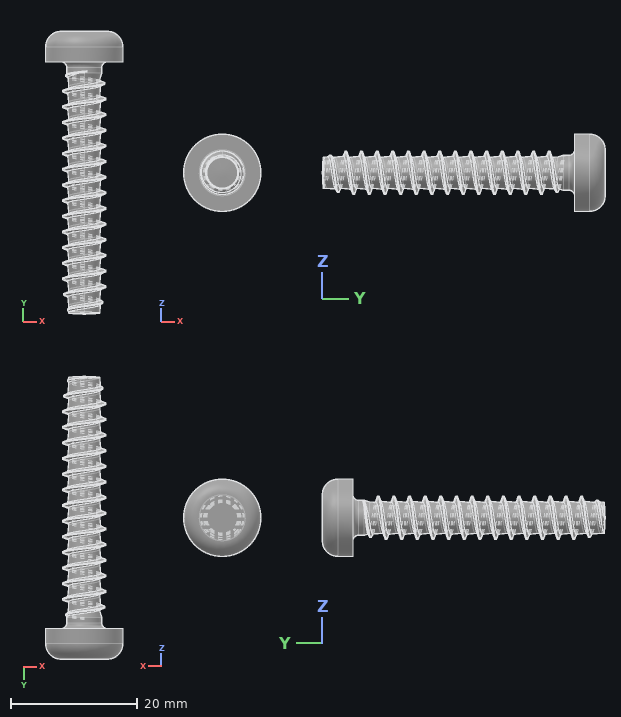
import cadquery as cq
import math


HEAD_RADIUS = 6.15
HEAD_HEIGHT = 4.89
HEAD_ROUND = 2.5

NECK_RADIUS = 2.8
NECK_FILLET = 0.85
NECK_LENGTH = 1.75
NECK_TAPER_END = 2.75
NECK_SINK = 0.15

SHANK_LENGTH = 40.0
CORE_RADIUS = 2.5
TIP_RADIUS = 2.44
TIP_TAPER_LENGTH = 0.15
TIP_CONE_HEIGHT = 0.12

CREST_RADIUS = 3.45
CREST_WIDTH = 0.16
FLANK_WIDTH = 0.3
PITCH = 2.48
FIRST_CREST_DEPTH = 1.52
LEAD_IN_START = -0.5
LEAD_IN_TURNS = 1.5
RUN_OUT_END = 15.5
RUN_OUT_TURNS = 1.5

ROOT_RISE = 0.14
ROOT_SLOPE_LENGTH = 1.36

FIRST_TURN = -1
LAST_TURN = 17
POINTS_PER_TURN = 24

BLANK_RADIUS = 2 * CREST_RADIUS


def make_head_and_neck():
    """Rounded head with the filleted neck, ending in a taper that sinks into the core."""
    round_center_radius = HEAD_RADIUS - HEAD_ROUND
    round_center_y = HEAD_HEIGHT - HEAD_ROUND
    round_offset = HEAD_ROUND * math.sin(math.pi / 4)
    fillet_inset = NECK_FILLET * (1 - math.sin(math.pi / 4))
    taper_slope = (NECK_RADIUS - CORE_RADIUS) / (NECK_TAPER_END - NECK_LENGTH)
    neck_end = NECK_TAPER_END + NECK_SINK / taper_slope
    outline = (
        cq.Workplane("ZY")
        .moveTo(0, HEAD_HEIGHT)
        .lineTo(round_center_radius, HEAD_HEIGHT)
        .threePointArc(
            (round_center_radius + round_offset, round_center_y + round_offset),
            (HEAD_RADIUS, round_center_y),
        )
        .lineTo(HEAD_RADIUS, 0)
        .lineTo(NECK_RADIUS + NECK_FILLET, 0)
        .threePointArc(
            (NECK_RADIUS + fillet_inset, -fillet_inset),
            (NECK_RADIUS, -NECK_FILLET),
        )
        .lineTo(NECK_RADIUS, -NECK_LENGTH)
        .lineTo(CORE_RADIUS - NECK_SINK, -neck_end)
        .lineTo(0, -neck_end)
        .close()
    )
    return outline.revolve(360, (0, 0, 0), (0, 1, 0))


def height_factor(turn):
    """Share of the full thread height at a turn, from 0 (bare core) to 1."""
    lead_in = (turn - LEAD_IN_START) / LEAD_IN_TURNS
    run_out = (RUN_OUT_END - turn) / RUN_OUT_TURNS
    return max(0, min(1, lead_in, run_out))


def depth_at(turn, offset):
    """Depth of a thread line that runs at an axial offset from the crest."""
    return FIRST_CREST_DEPTH + PITCH * turn + offset


def helix_edge(first_turn, offset, height):
    """One turn of a thread line, at a height above the core."""
    points = []
    for step in range(POINTS_PER_TURN + 1):
        turn = first_turn + step / POINTS_PER_TURN
        angle = 2 * math.pi * turn
        radius = CORE_RADIUS + height * height_factor(turn)
        points.append(
            cq.Vector(-radius * math.sin(angle), -depth_at(turn, offset), radius * math.cos(angle))
        )
    return cq.Edge.makeSpline(points)


def axis_edge(first_turn, offset):
    """Stretch of the screw axis beside one turn of a thread line."""
    start = cq.Vector(0, -depth_at(first_turn, offset), 0)
    end = cq.Vector(0, -depth_at(first_turn + 1, offset), 0)
    return cq.Edge.makeLine(start, end)


def end_section(turn, profile):
    """Flat face between the screw axis and one pitch of the thread profile."""
    corners = [cq.Vector(0, -depth_at(turn, profile[0][0]), 0)]
    for offset, height in profile:
        radius = CORE_RADIUS + height * height_factor(turn)
        corners.append(cq.Vector(0, -depth_at(turn, offset), radius))
    corners.append(cq.Vector(0, -depth_at(turn, profile[-1][0]), 0))
    return cq.Face.makeFromWires(cq.Wire.makePolygon(corners, close=True))


def make_threaded_core():
    """Solid core with the thread, closed at both ends by a helical face and a flat step."""
    half_crest = CREST_WIDTH / 2
    flank_base = half_crest + FLANK_WIDTH
    crest_height = CREST_RADIUS - CORE_RADIUS
    profile = [
        (-flank_base, 0),
        (-half_crest, crest_height),
        (half_crest, crest_height),
        (flank_base, ROOT_RISE),
        (flank_base + ROOT_SLOPE_LENGTH, 0),
        (PITCH - flank_base, 0),
    ]
    faces = []
    for turn in range(FIRST_TURN, LAST_TURN):
        edges = [helix_edge(turn, offset, height) for offset, height in profile]
        for edge, next_edge in zip(edges, edges[1:]):
            faces.append(cq.Face.makeRuledSurface(edge, next_edge))
    for turn in (FIRST_TURN, LAST_TURN):
        inner_edge = axis_edge(turn, -flank_base)
        outer_edge = helix_edge(turn, -flank_base, 0)
        faces.append(cq.Face.makeRuledSurface(inner_edge, outer_edge))
        faces.append(end_section(turn, profile))
    return cq.Workplane(cq.Solid.makeSolid(cq.Shell.makeShell(faces)))


def make_tip_blank():
    """Blank wider than the thread, narrowing to the tapered, slightly pointed tip."""
    rim_depth = SHANK_LENGTH - TIP_CONE_HEIGHT
    taper_slope = (CORE_RADIUS - TIP_RADIUS) / TIP_TAPER_LENGTH
    taper_start = rim_depth - (BLANK_RADIUS - TIP_RADIUS) / taper_slope
    outline = (
        cq.Workplane("ZY")
        .lineTo(BLANK_RADIUS, 0)
        .lineTo(BLANK_RADIUS, -taper_start)
        .lineTo(TIP_RADIUS, -rim_depth)
        .lineTo(0, -SHANK_LENGTH)
        .close()
    )
    return outline.revolve(360, (0, 0, 0), (0, 1, 0))


threaded_core = make_threaded_core().intersect(make_tip_blank())
result = make_head_and_neck().union(threaded_core)